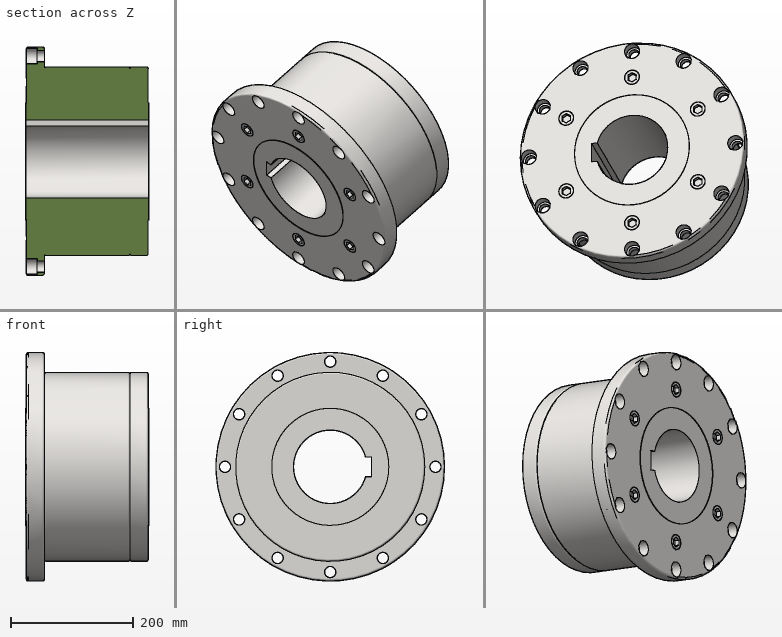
import cadquery as cq
import math

flange_thickness = 30.0
drum_length = 140.0
end_ring_thickness = 30.0
hub_projection = 1.0

flange_diameter = 375.0
drum_diameter = 310.0
hub_diameter = 192.0
bore_diameter = 120.0
flange_edge_radius = 3.5
drum_edge_radius = 3.0

keyway_width = 32.0
keyway_depth = 7.4

mounting_hole_count = 12
mounting_circle_radius = 172.5
mounting_hole_diameter = 18.0
mounting_counterbore_depth = 18.0

screw_count = 6
screw_circle_radius = 127.0
screw_head_diameter = 24.0
screw_head_height = 16.0
socket_across_flats = 14.0
socket_depth = 8.0

counterbore_diameter = 25.0

flange_face = hub_projection
drum_start = flange_face + flange_thickness
end_ring_start = drum_start + drum_length
end_face = end_ring_start + end_ring_thickness
overall_length = end_face + hub_projection


def disc(start, length, diameter):
    """Cylinder on the X axis."""
    return cq.Workplane("YZ", origin=(start, 0, 0)).circle(diameter / 2).extrude(length)


def rounded_disc(start, length, diameter, edge_radius):
    """Cylinder on the X axis with both rims rounded."""
    return disc(start, length, diameter).edges().fillet(edge_radius)


def on_circle(start, radius, count):
    """Points evenly spaced on a circle in a plane across X, the first one on +Z."""
    across_x = cq.Plane(origin=(start, 0, 0), xDir=(0, 0, 1), normal=(1, 0, 0))
    return cq.Workplane(across_x).polarArray(radius, 0, 360, count, rotate=False)


def turned_body():
    """Flange, drum and end ring butted together around the hub."""
    body = rounded_disc(flange_face, flange_thickness, flange_diameter, flange_edge_radius)
    body = body.union(rounded_disc(drum_start, drum_length, drum_diameter, drum_edge_radius))
    body = body.union(rounded_disc(end_ring_start, end_ring_thickness, drum_diameter, drum_edge_radius))
    return body.union(disc(0, overall_length, hub_diameter))


def keyed_bore():
    """Through bore with a keyway running its full length."""
    keyway_reach = bore_diameter / 2 + keyway_depth
    keyway = cq.Workplane("XY").box(
        overall_length, keyway_reach, keyway_width, centered=(False, False, True)
    )
    return disc(0, overall_length, bore_diameter).union(keyway)


def mounting_holes():
    """Counterbored holes through the flange rim."""
    holes = on_circle(flange_face, mounting_circle_radius, mounting_hole_count)
    holes = holes.circle(mounting_hole_diameter / 2).extrude(flange_thickness)
    counterbores = on_circle(flange_face, mounting_circle_radius, mounting_hole_count)
    counterbores = counterbores.circle(counterbore_diameter / 2).extrude(mounting_counterbore_depth)
    return holes.union(counterbores)


def screw_recesses():
    """Clearance gaps around the screw heads, and their hexagon sockets."""
    counterbores = on_circle(flange_face, screw_circle_radius, screw_count)
    counterbores = counterbores.circle(counterbore_diameter / 2).extrude(screw_head_height)
    heads = on_circle(flange_face, screw_circle_radius, screw_count)
    heads = heads.circle(screw_head_diameter / 2).extrude(screw_head_height)

    socket_across_corners = 2 * socket_across_flats / math.sqrt(3)
    sockets = on_circle(flange_face, screw_circle_radius, screw_count)
    sockets = sockets.polygon(6, socket_across_corners).extrude(socket_depth)
    return counterbores.cut(heads).union(sockets)


result = turned_body().cut(keyed_bore()).cut(mounting_holes()).cut(screw_recesses())